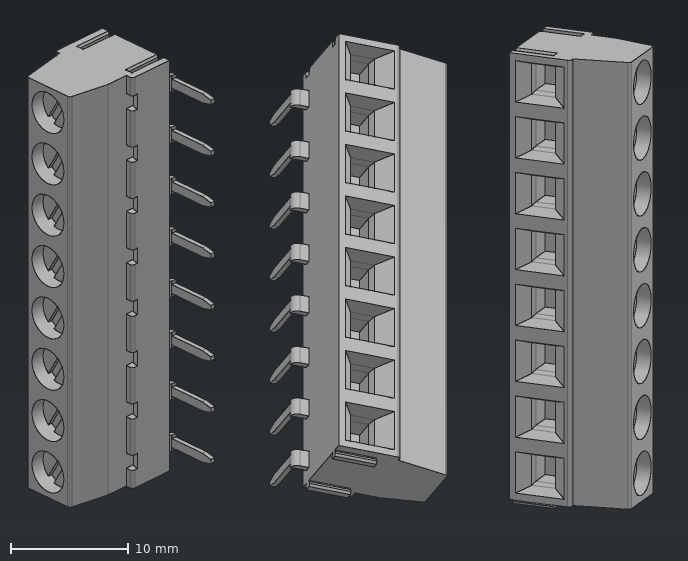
import cadquery as cq
import math

poles = 8
rib_height = 0.6
overall_height = 40.6
body_height = overall_height - rib_height
pitch = body_height / poles
body_depth = 10.65
overall_width = 12.05
overall_depth = 12.1

lip_x = 8.08
wall_x = 7.35
lip_y = 6.15
left_step_y = 4.9
nose_left = 1.45
nose_right = 6.6
left_step_x = 0.53
right_taper_y = 3.9
nose_radius = 0.3
step_radius = 0.3

screw_diameter = 3.8
screw_x = 4.0
screw_depth = 1.35
slot_width = 0.77
slot_depth = 0.4
slot_angle = 60

mouth_low_y = 5.52
mouth_high_y = 10.03
mouth_height = 3.7
throat_low_y = 6.85
throat_high_y = 9.05
throat_height = 2.75
chamber_low_y = 7.1
chamber_high_y = 8.97
chamber_height = 2.45
mouth_depth = 1.2
throat_depth = 0.7
chamber_depth = 2.05

recess_height = 1.45
recess_depth = 0.6
recess_floor_radius = 1.2

leg_thickness = 0.6
blade_thickness = 0.5
pin_left = 6.75
pin_drop = 0.45
leg_width = 1.6
blade_width = 0.9
tip_width = 0.45
tip_length = 1.0
bend_radius = 0.65
pin_root = 0.8

joint_y = 6.82
joint_width = 0.77
joint_neck = 0.53
joint_left = 0.75
joint_right = wall_x - joint_width
rib_neck_height = 0.12
rib_widest = 0.35
groove_depth = 0.6
groove_bevel_depth = 0.25


def make_housing():
    outline = [
        (nose_left, 0), (nose_right, 0), (wall_x, right_taper_y), (wall_x, lip_y), (lip_x, lip_y),
        (lip_x, body_depth), (0, body_depth), (0, left_step_y), (left_step_x, left_step_y),
    ]
    housing = cq.Workplane("XY").polyline(outline).close().extrude(body_height)
    rounded_corners = [
        (nose_left, 0, nose_radius), (nose_right, 0, nose_radius),
        (lip_x, lip_y, step_radius), (0, left_step_y, step_radius),
    ]
    for x, y, radius in rounded_corners:
        edge = cq.selectors.NearestToPointSelector((x, y, body_height / 2))
        housing = housing.edges("|Z").edges(edge).fillet(radius)
    return housing


def make_screw_recess(z):
    recess = (
        cq.Workplane("XZ", origin=(screw_x, 0, z))
        .circle(screw_diameter / 2)
        .extrude(-screw_depth)
    )
    head = (
        cq.Workplane("XZ", origin=(screw_x, screw_depth, z))
        .circle(screw_diameter / 2)
        .extrude(-slot_depth)
    )
    slot = (
        cq.Workplane("XZ", origin=(screw_x, screw_depth, z))
        .transformed(rotate=(0, 0, slot_angle))
        .rect(screw_diameter, slot_width)
        .extrude(-slot_depth)
    )
    return recess.union(slot.intersect(head))


def rectangle_on_yz(x, z, low_y, high_y, height):
    return cq.Wire.makePolygon(
        [cq.Vector(x, y, z + side * height / 2)
         for y, side in ((low_y, -1), (high_y, -1), (high_y, 1), (low_y, 1))],
        close=True,
    )


def make_wire_entry(z):
    throat_x = mouth_depth
    chamber_x = throat_x + throat_depth
    end_x = chamber_x + chamber_depth
    sections = [
        rectangle_on_yz(0, z, mouth_low_y, mouth_high_y, mouth_height),
        rectangle_on_yz(throat_x, z, throat_low_y, throat_high_y, throat_height),
        rectangle_on_yz(chamber_x, z, chamber_low_y, chamber_high_y, chamber_height),
        rectangle_on_yz(end_x, z, chamber_low_y, chamber_high_y, chamber_height),
    ]
    return cq.Workplane(cq.Solid.makeLoft(sections, True))


def make_lip_recess(z):
    floor_y = lip_y + recess_depth
    lip_width = lip_x - wall_x
    floor_drop = recess_floor_radius - math.sqrt(recess_floor_radius**2 - lip_width**2)
    return (
        cq.Workplane("XY", origin=(0, 0, z - recess_height / 2))
        .moveTo(wall_x, lip_y)
        .lineTo(lip_x, lip_y)
        .lineTo(lip_x, floor_y)
        .radiusArc((wall_x, floor_y + floor_drop), recess_floor_radius)
        .close()
        .extrude(recess_height)
    )


def make_pin(z):
    inner_x = pin_left + leg_thickness
    inner_y = overall_depth - blade_thickness
    profile = (
        cq.Workplane("XY", origin=(0, 0, z - leg_width / 2))
        .moveTo(pin_left, body_depth - pin_root)
        .lineTo(inner_x, body_depth - pin_root)
        .lineTo(inner_x, inner_y)
        .lineTo(overall_width, inner_y)
        .lineTo(overall_width, overall_depth)
        .lineTo(pin_left + bend_radius, overall_depth)
        .radiusArc((pin_left, overall_depth - bend_radius), -bend_radius)
        .close()
        .extrude(leg_width)
    )
    blade_x = pin_left + bend_radius
    tip_x = overall_width - tip_length
    plan = [
        (pin_left, leg_width / 2), (blade_x, leg_width / 2), (blade_x, blade_width / 2),
        (tip_x, blade_width / 2), (overall_width, tip_width / 2),
    ]
    plan += [(x, -half_width) for x, half_width in reversed(plan)]
    blade_shape = (
        cq.Workplane("XZ", origin=(0, 0, z)).polyline(plan).close().extrude(-overall_depth)
    )
    return profile.intersect(blade_shape)


def make_groove(left_x, right_wall_upright):
    inset = (joint_width - joint_neck) / 2
    right_x = left_x + joint_width
    floor_z = body_height - groove_depth
    bevel_z = body_height - groove_bevel_depth
    left_side = [(left_x, body_height), (left_x + inset, bevel_z), (left_x + inset, floor_z)]
    if right_wall_upright:
        right_side = [(right_x, floor_z), (right_x, body_height)]
    else:
        right_side = [(left_x + right_x - x, z) for x, z in reversed(left_side)]
    return (
        cq.Workplane("XZ", origin=(0, joint_y, 0))
        .polyline(left_side + right_side).close().extrude(joint_y - body_depth)
    )


def make_rib(left_x, right_wall_upright):
    inset = (joint_width - joint_neck) / 2
    right_x = left_x + joint_width
    left_side = [
        (left_x + inset, 0), (left_x + inset, -rib_neck_height), (left_x, -rib_widest),
        (left_x + inset, -rib_height),
    ]
    if right_wall_upright:
        right_side = [(right_x, -rib_height), (right_x, 0)]
    else:
        right_side = [(left_x + right_x - x, z) for x, z in reversed(left_side)]
    return (
        cq.Workplane("XZ", origin=(0, joint_y, 0))
        .polyline(left_side + right_side).close().extrude(joint_y - body_depth)
    )


result = make_housing()

for joint_x, upright in ((joint_left, False), (joint_right, True)):
    result = result.cut(make_groove(joint_x, upright)).union(make_rib(joint_x, upright))

for pole in range(poles):
    pole_z = (pole + 0.5) * pitch
    result = result.cut(make_screw_recess(pole_z)).cut(make_wire_entry(pole_z))
    result = result.cut(make_lip_recess(pole_z)).union(make_pin(pole_z - pin_drop))

result = result.translate((0, 0, rib_height))